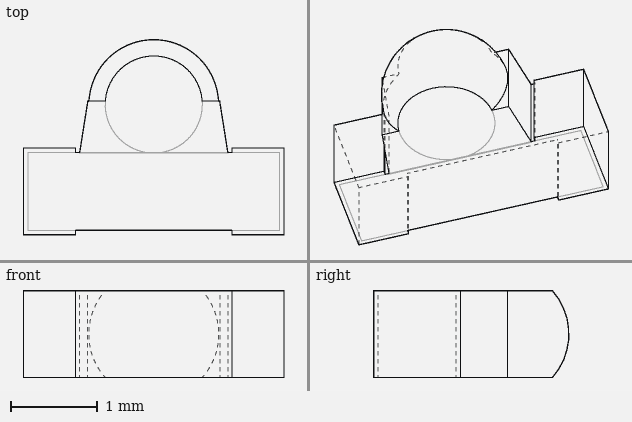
import cadquery as cq

body_length = 3.0
body_depth = 1.0
height = 1.0
cap_length = 0.6
cap_thickness = 0.05

core_length = body_length - 2 * cap_thickness
core_depth = body_depth - 2 * cap_thickness
core_back = body_depth / 2 - cap_thickness

overall_depth = 2.25
dome_radius = 0.75
dome_center_y = overall_depth - dome_radius - body_depth / 2
pedestal_depth = 0.6
pedestal_embed = 0.01
pedestal_root_y = core_back - pedestal_embed
pedestal_root_width = 1.71
pedestal_tip_width = 1.52


def make_box(length, depth):
    """Full-height box centred on the body axis, standing on Z = 0."""
    return cq.Workplane("XY").box(length, depth, height, centered=(True, True, False))


def make_cap(side, core):
    """Cap around the +X (side = 1) or -X (side = -1) end of the core, flush at top and bottom."""
    center_x = side * (body_length - cap_length) / 2
    return make_box(cap_length, body_depth).translate((center_x, 0, 0)).cut(core)


def make_pedestal():
    """Trapezoidal block that narrows away from the core, its root slightly embedded in it."""
    root = pedestal_root_width / 2
    tip = pedestal_tip_width / 2
    tip_y = pedestal_root_y + pedestal_depth
    outline = [(-root, pedestal_root_y), (root, pedestal_root_y), (tip, tip_y), (-tip, tip_y)]
    return cq.Workplane("XY").polyline(outline).close().extrude(height)


def make_dome():
    """Sphere centred at mid height, trimmed to the body height, behind the pedestal root."""
    sphere = cq.Workplane("XY").sphere(dome_radius).translate((0, dome_center_y, height / 2))
    trim = make_box(body_length, overall_depth).translate((0, pedestal_root_y + overall_depth / 2, 0))
    return sphere.intersect(trim)


core = make_box(core_length, core_depth)
dome = make_dome()
pedestal = make_pedestal().cut(dome)

result = core
for piece in (make_cap(-1, core), make_cap(1, core), pedestal, dome):
    result = result.union(piece, clean=False)